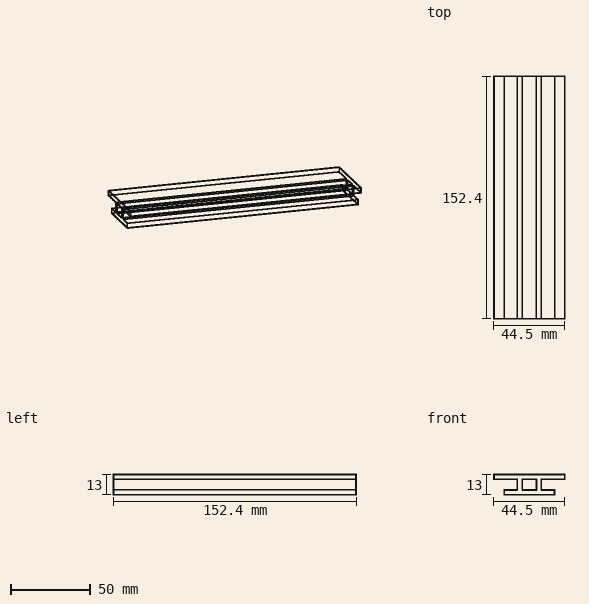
import cadquery as cq

length = 152.4
height = 13.0
top_width = 44.5
bottom_width = 31.7
flange_thickness = 3.2
web_thickness = 3.2
web_gap = 8.8

web_height = height - 2 * flange_thickness
web_offset = (web_gap + web_thickness) / 2


def bar(width, thickness, center_x, bottom_z):
    """Full-length rectangular bar, centered on Y and resting at bottom_z."""
    return (
        cq.Workplane("XY")
        .box(width, length, thickness, centered=(True, True, False))
        .translate((center_x, 0, bottom_z))
    )


bottom_flange = bar(bottom_width, flange_thickness, 0, 0)
top_flange = bar(top_width, flange_thickness, 0, height - flange_thickness)

result = bottom_flange
for side in (-1, 1):
    result = result.union(bar(web_thickness, web_height, side * web_offset, flange_thickness))
result = result.union(top_flange)